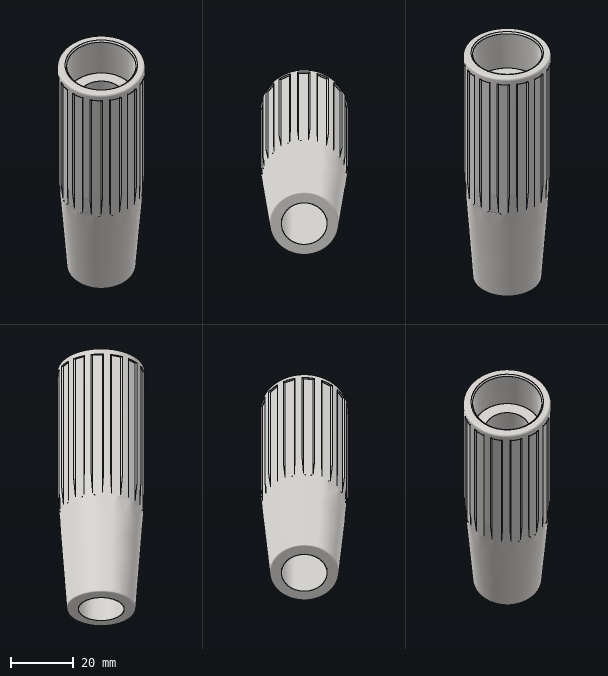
import cadquery as cq
import math

length = 88.0
grip_diameter = 28.0
base_diameter = 22.0
grip_radius = grip_diameter / 2
base_radius = base_diameter / 2
taper_height = 42.3
taper_blend = 10.0
top_fillet = 1.0
base_fillet = 0.5

bore_diameter = 22.0
bore_depth = 14.0
bore_chamfer = 0.5
hole_diameter = 14.5

groove_count = 14
groove_depth = 0.6
groove_floor_width = 3.1
groove_mouth_width = 4.0
groove_top_margin = 2.4
groove_top = length - groove_top_margin


def make_body():
    """Cylinder standing on a slightly tapered lower part, with rounded end rims."""
    taper_angle = math.atan((grip_radius - base_radius) / taper_height)
    blend_length = taper_blend * math.tan(taper_angle / 2)
    blend_start_radius = grip_radius - blend_length * math.sin(taper_angle)
    blend_start_height = taper_height - blend_length * math.cos(taper_angle)
    profile = (
        cq.Workplane("XZ")
        .lineTo(base_radius, 0)
        .lineTo(blend_start_radius, blend_start_height)
        .tangentArcPoint((grip_radius, taper_height + blend_length), relative=False)
        .lineTo(grip_radius, length)
        .lineTo(0, length)
        .close()
    )
    body = profile.revolve(360, (0, 0, 0), (0, 1, 0))
    body = body.faces(">Z").edges().fillet(top_fillet)
    return body.faces("<Z").edges().fillet(base_fillet)


def make_bore():
    """Chamfered blind bore from the top, continued by a smaller hole to the bottom."""
    bore_radius = bore_diameter / 2
    hole_radius = hole_diameter / 2
    shoulder = length - bore_depth
    profile = [
        (0, 0),
        (hole_radius, 0),
        (hole_radius, shoulder),
        (bore_radius, shoulder),
        (bore_radius, length - bore_chamfer),
        (bore_radius + bore_chamfer, length),
        (0, length),
    ]
    return cq.Workplane("XZ").polyline(profile).close().revolve(360, (0, 0, 0), (0, 1, 0))


def make_groove():
    """Groove cutter on the -Y side: flat floor and flared walls, run out by the taper."""
    floor_half_width = groove_floor_width / 2
    mouth_half_width = groove_mouth_width / 2
    floor_y = -(grip_radius - groove_depth)
    mouth_y = -math.sqrt(grip_radius**2 - mouth_half_width**2)
    flare = (mouth_half_width - floor_half_width) / (floor_y - mouth_y)
    outer_y = -(grip_radius + groove_depth)
    outer_half_width = floor_half_width + flare * (floor_y - outer_y)
    section = [
        (-floor_half_width, floor_y),
        (floor_half_width, floor_y),
        (outer_half_width, outer_y),
        (-outer_half_width, outer_y),
    ]
    return cq.Workplane("XY").polyline(section).close().extrude(groove_top)


result = make_body().cut(make_bore())
groove = make_groove()
for index in range(groove_count):
    angle = index * 360 / groove_count
    result = result.cut(groove.rotate((0, 0, 0), (0, 0, 1), angle))